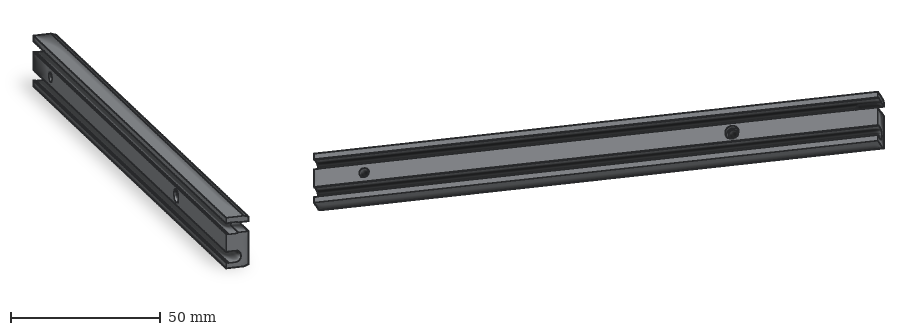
import cadquery as cq

LENGTH = 195.0
DEPTH = 8.0
HEIGHT = 18.0

BEVEL_DEPTH = 1.8
BEVEL_HEIGHT = 0.5

WEB_HEIGHT = 6.5
MOUTH_WIDTH = 3.7
GROOVE_CENTRE_Z = (WEB_HEIGHT + MOUTH_WIDTH) / 2
GROOVE_WIDTH = 4.0
GROOVE_DEPTH = 5.3
LIP_THICKNESS = 0.8

PLAIN_HOLE_X = 17.4
STEPPED_HOLE_X = 144.5
HOLE_DIAMETER = 3.3
COUNTERBORE_DIAMETER = 4.7
COUNTERBORE_DEPTH = 2.0

NOTCH_LENGTH = 9.2
NOTCH_WIDTH = 3.5


def bar():
    """Rectangular bar with its rear edges bevelled."""
    half = HEIGHT / 2
    return (
        cq.Workplane("YZ")
        .moveTo(0, -half)
        .lineTo(DEPTH - BEVEL_DEPTH, -half)
        .lineTo(DEPTH, -half + BEVEL_HEIGHT)
        .lineTo(DEPTH, half - BEVEL_HEIGHT)
        .lineTo(DEPTH - BEVEL_DEPTH, half)
        .lineTo(0, half)
        .close()
        .extrude(LENGTH)
    )


def upper_groove():
    """Full-length round-bottomed groove opening through a slightly narrower mouth."""
    radius = GROOVE_WIDTH / 2
    channel = (
        cq.Workplane("YZ", origin=(0, 0, GROOVE_CENTRE_Z))
        .moveTo(LIP_THICKNESS, -radius)
        .lineTo(GROOVE_DEPTH - radius, -radius)
        .threePointArc((GROOVE_DEPTH, 0), (GROOVE_DEPTH - radius, radius))
        .lineTo(LIP_THICKNESS, radius)
        .close()
        .extrude(LENGTH)
    )
    mouth = cq.Workplane("XY").box(
        LENGTH, LIP_THICKNESS, MOUTH_WIDTH, centered=(False, False, True)
    ).translate((0, 0, GROOVE_CENTRE_Z))
    return channel.union(mouth)


def front_cylinder(x, z, diameter, depth):
    """Cylinder running from the front face towards +Y."""
    return cq.Workplane("XZ", origin=(x, 0, z)).circle(diameter / 2).extrude(-depth)


def end_notch():
    """Notch cutter with a half-round inner end."""
    end_x = LENGTH - NOTCH_LENGTH + NOTCH_WIDTH / 2
    straight = cq.Workplane("XY").box(
        LENGTH - end_x, DEPTH, NOTCH_WIDTH, centered=(False, False, True)
    ).translate((end_x, 0, GROOVE_CENTRE_Z))
    return straight.union(front_cylinder(end_x, GROOVE_CENTRE_Z, NOTCH_WIDTH, DEPTH))


groove = upper_groove()
result = bar().cut(groove).cut(groove.mirror("XY"))
for hole_x in (PLAIN_HOLE_X, STEPPED_HOLE_X):
    result = result.cut(front_cylinder(hole_x, 0, HOLE_DIAMETER, DEPTH))
result = result.cut(front_cylinder(STEPPED_HOLE_X, 0, COUNTERBORE_DIAMETER, COUNTERBORE_DEPTH))
result = result.cut(end_notch())